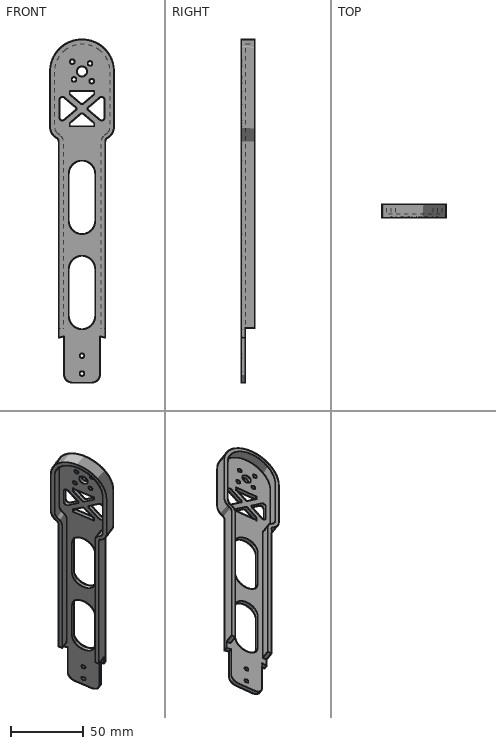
import cadquery as cq
import math

depth = 9.5
plate_thickness = 2.9
rim_thickness = 3.0

total_height = 238.1
head_width = 44.5
head_radius = head_width / 2
head_center_z = total_height - head_radius
arm_half_width = 16.2
neck_top_z = 177.6
neck_convex_radius = 9.0
neck_concave_radius = 3.3
rim_bottom_z = 37.9
shoulder_outer_z = 31.2
shoulder_inner_z = 32.1
tab_half_width = 12.6
tab_corner_radius = 6.2

bore_diameter = 7.0
screw_diameter = 3.0
wide_screw_radius = 9.5
narrow_screw_radius = 7.9

window_center_z = 190.0
window_half_width = 15.5
window_half_height = 12.1
end_opening_half_width = 8.3
brace_slope = 0.85
brace_offset = 2.9
side_corner_radius = 2.0
tip_radius = 1.0

slot_width = 18.0
slot_length = 50.7
slot_centers_z = (62.6, 128.5)
tab_holes_z = (6.5, 18.8)


def front_plane():
    """Sketch plane with X right and Z up; extruding a negative distance goes toward +Y."""
    return cq.Workplane("XZ")


def neck_points(inset):
    """Right-hand neck as two tangent arcs: (start, mid, joint, mid, end), moved inward by inset."""
    convex = neck_convex_radius - inset
    concave = neck_concave_radius + inset
    drop = head_radius - arm_half_width
    radius_sum = neck_convex_radius + neck_concave_radius
    angle = math.acos(1 - drop / radius_sum)
    convex_x = head_radius - neck_convex_radius
    concave_x = arm_half_width + neck_concave_radius
    concave_z = neck_top_z - radius_sum * math.sin(angle)

    def on_convex(a):
        return (convex_x + convex * math.cos(a), neck_top_z - convex * math.sin(a))

    def on_concave(a):
        return (concave_x - concave * math.cos(a), concave_z + concave * math.sin(a))

    return (on_convex(0), on_convex(angle / 2), on_convex(angle), on_concave(angle / 2), on_concave(0))


def mirrored(point):
    return (-point[0], point[1])


def arm_profile(inset, lower_right):
    """Head, neck and arm outline, closed below through the points lower_right and their mirror."""
    start, convex_mid, joint, concave_mid, end = neck_points(inset)
    outline = (
        front_plane()
        .moveTo(*mirrored(start))
        .lineTo(-(head_radius - inset), head_center_z)
        .threePointArc((0, total_height - inset), (head_radius - inset, head_center_z))
        .lineTo(*start)
        .threePointArc(convex_mid, joint)
        .threePointArc(concave_mid, end)
    )
    for point in lower_right:
        outline = outline.lineTo(*point)
    for point in reversed(lower_right):
        outline = outline.lineTo(*mirrored(point))
    return (
        outline.lineTo(*mirrored(end))
        .threePointArc(mirrored(concave_mid), mirrored(joint))
        .threePointArc(mirrored(convex_mid), mirrored(start))
        .close()
    )


def make_plate():
    lower_right = [
        (arm_half_width, shoulder_outer_z),
        (tab_half_width, shoulder_inner_z),
        (tab_half_width, 0),
    ]
    plate = arm_profile(0, lower_right).extrude(-plate_thickness)
    return plate.edges("|Y").edges("<Z").fillet(tab_corner_radius)


def make_rim():
    """Wall around the head and along both sides of the arm, open at the lower end."""
    inner_half_width = arm_half_width - rim_thickness
    outer = arm_profile(0, [(arm_half_width, rim_bottom_z)]).extrude(-depth)
    inner = arm_profile(rim_thickness, [(inner_half_width, rim_bottom_z)]).extrude(-depth)
    return outer.cut(inner)


def motor_mount_cutter():
    screws = []
    for radius, angles in ((wide_screw_radius, (135, 315)), (narrow_screw_radius, (45, 225))):
        for angle in angles:
            turn = math.radians(angle)
            screws.append((radius * math.cos(turn), head_center_z + radius * math.sin(turn)))
    bore = front_plane().center(0, head_center_z).circle(bore_diameter / 2).extrude(-depth)
    return bore.union(front_plane().pushPoints(screws).circle(screw_diameter / 2).extrude(-depth))


def window_cutter():
    """Four openings that leave an X-shaped brace."""
    center = front_plane().center(0, window_center_z)
    side_tip = brace_offset / brace_slope
    side_half_height = brace_slope * window_half_width - brace_offset
    end_side_z = brace_slope * end_opening_half_width + brace_offset
    side = (
        center.moveTo(side_tip, 0)
        .lineTo(window_half_width, side_half_height)
        .lineTo(window_half_width, -side_half_height)
        .close()
        .extrude(-depth)
        .edges("|Y")
        .edges(">X")
        .fillet(side_corner_radius)
        .edges("|Y")
        .edges("<X")
        .fillet(tip_radius)
    )
    end = (
        center.moveTo(0, brace_offset)
        .lineTo(end_opening_half_width, end_side_z)
        .lineTo(end_opening_half_width, window_half_height)
        .lineTo(-end_opening_half_width, window_half_height)
        .lineTo(-end_opening_half_width, end_side_z)
        .close()
        .extrude(-depth)
        .edges("|Y")
        .edges("<Z")
        .fillet(tip_radius)
    )
    middle = (0, 0, window_center_z)
    return side.union(side.mirror("YZ")).union(end).union(end.mirror("XY", middle))


def arm_slot_cutter():
    centers = [(0, z) for z in slot_centers_z]
    return front_plane().pushPoints(centers).slot2D(slot_length, slot_width, 90).extrude(-depth)


def tab_hole_cutter():
    centers = [(0, z) for z in tab_holes_z]
    return front_plane().pushPoints(centers).circle(screw_diameter / 2).extrude(-depth)


result = make_plate().union(make_rim())
for cutter in (motor_mount_cutter(), window_cutter(), arm_slot_cutter(), tab_hole_cutter()):
    result = result.cut(cutter)